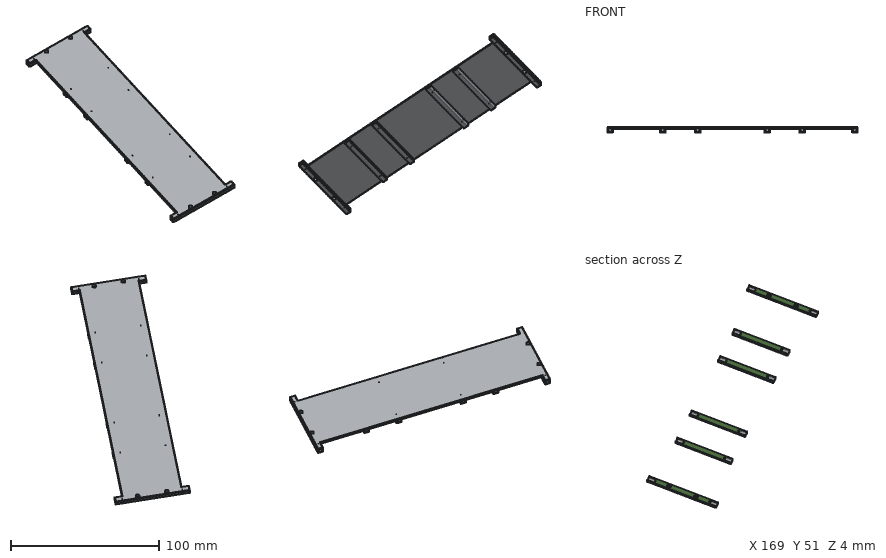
import cadquery as cq
import math

LENGTH = 169.0
END_RIB_LENGTH = 51.0
HEIGHT = 4.0

PLATE_WIDTH = 41.0
PLATE_THICKNESS = 1.5

RIB_WIDTH = 4.0
INNER_RIB_X = 23.5
OUTER_RIB_X = 2 * INNER_RIB_X
END_RIB_X = (LENGTH - RIB_WIDTH) / 2

HOLE_DIAMETER = 2.5
HOLE_SPACING = 20.0

SOCKET_RADIUS = 1.25
SOCKET_DEPTH = 5.0
DRILL_POINT_ANGLE = 118.0

EDGE_CHAMFER = 0.5
CROSS_RIB_FILLET = 1.0


def block(length, width, height, x_center, z_bottom):
    """Box centred on the X axis at x_center, with its base at z_bottom."""
    box = cq.Workplane("XY").box(length, width, height, centered=(True, True, False))
    return box.translate((x_center, 0, z_bottom))


def plate():
    """Thin plate with its long top edges chamfered."""
    body = block(LENGTH - RIB_WIDTH, PLATE_WIDTH, PLATE_THICKNESS, 0, HEIGHT - PLATE_THICKNESS)
    return body.faces(">Z").edges("|X").chamfer(EDGE_CHAMFER)


def end_rib(x_center):
    """Full-height rib reaching past the plate; all but its lower end edges are chamfered."""
    body = block(RIB_WIDTH, END_RIB_LENGTH, HEIGHT, x_center, 0)
    body = body.edges("|Y").chamfer(EDGE_CHAMFER)
    return body.faces(">Z").edges("|X").chamfer(EDGE_CHAMFER)


def cross_rib(x_center):
    """Rib below the plate, across its full width, with its outer lower edge rounded."""
    body = block(RIB_WIDTH, PLATE_WIDTH, HEIGHT - PLATE_THICKNESS, x_center, 0)
    outer_side = ">X" if x_center > 0 else "<X"
    return body.faces("<Z").edges(outer_side).fillet(CROSS_RIB_FILLET)


def end_sockets(x_center, rib_length):
    """Cutters for the drilled sockets at both ends of a rib, at mid height."""
    point_depth = SOCKET_RADIUS / math.tan(math.radians(DRILL_POINT_ANGLE / 2))
    half_section = [
        (0, 0),
        (SOCKET_RADIUS, 0),
        (SOCKET_RADIUS, SOCKET_DEPTH),
        (0, SOCKET_DEPTH + point_depth),
    ]
    drill = cq.Workplane("XY").polyline(half_section).close().revolve(360, (0, 0, 0), (0, 1, 0))
    near_socket = drill.translate((x_center, -rib_length / 2, HEIGHT / 2))
    return near_socket.union(near_socket.mirror("XZ"))


def vertical_holes():
    """Cutters for the two holes through each end rib."""
    centers = cq.Workplane("XY").rarray(2 * END_RIB_X, HOLE_SPACING, 2, 2)
    return centers.circle(HOLE_DIAMETER / 2).extrude(HEIGHT)


body = plate()
for side in (-1, 1):
    body = body.union(end_rib(side * END_RIB_X))
    body = body.cut(end_sockets(side * END_RIB_X, END_RIB_LENGTH))
    for rib_x in (INNER_RIB_X, OUTER_RIB_X):
        body = body.union(cross_rib(side * rib_x))
        body = body.cut(end_sockets(side * rib_x, PLATE_WIDTH))

result = body.cut(vertical_holes())